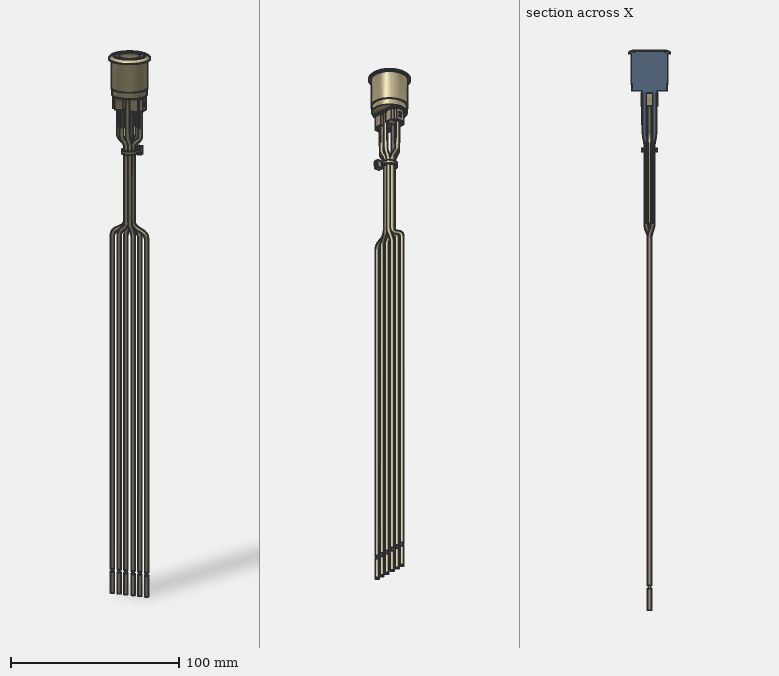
import cadquery as cq
import math


total_length = 332.5

bezel_diameter = 25.0
bezel_dome_height = 1.5
bezel_rim_height = 0.3
bezel_height = bezel_dome_height + bezel_rim_height
groove_outer_diameter = 19.3
groove_inner_diameter = 17.5
groove_depth = 1.0
button_diameter = 13.5
button_recess = 0.3

body_diameter = 22.0
body_foot_diameter = 21.0
body_step_z = -20.0
body_bottom_z = -24.0

plate_width = 17.3
plate_depth = 9.3
plate_height = 1.3
block_inner_x = 2.3
block_shoulder_x = 7.3
block_outer_x = 9.5
block_depth = 10.0
block_nose_depth = 5.3
block_bottom_z = -33.0
window_width = 1.5
window_height = 3.0
window_recess = 1.0
window_middle_z = -29.0

blade_width = 3.0
blade_thickness = 0.5
blade_bottom_z = -44.0

wire_diameter = 2.4
bundle_radius = 2.3
terminal_outer_x = 7.0
terminal_middle_x = 3.5
terminal_row_y = 3.0
gather_start_z = -48.5
gather_end_z = -56.5
fan_start_z = -101.7
fan_end_z = -112.5
fan_pitch = 4.3
fan_middle_gap = 4.8
fan_inner_x = fan_middle_gap / 2
fan_middle_x = fan_inner_x + fan_pitch
fan_outer_x = fan_middle_x + fan_pitch

neck_diameter = 1.5
neck_top_z = -317.5
neck_length = 2.0

tie_top_z = -58.2
tie_height = 2.0
tie_outer_radius = 4.5
tie_inner_radius = 3.3
tie_head_x = 4.3
tie_head_width = 3.0
tie_head_y = 5.0
tie_head_depth = 3.3
tie_head_height = 4.5
tie_tail_width = 1.0
tie_tail_end_y = 7.5

overlap = 0.5


def cylinder(diameter, top_z, bottom_z, x=0.0, y=0.0):
    disc = cq.Workplane("XY", origin=(x, y, bottom_z)).circle(diameter / 2)
    return disc.extrude(top_z - bottom_z)


def box(x_range, y_range, z_range):
    size = [high - low for low, high in (x_range, y_range, z_range)]
    corner = (x_range[0], y_range[0], z_range[0])
    return cq.Workplane("XY", origin=corner).box(*size, centered=False)


def button_head():
    profile = (
        cq.Workplane("XZ")
        .lineTo(groove_outer_diameter / 2, 0)
        .tangentArcPoint((bezel_diameter / 2, -bezel_dome_height), relative=False)
        .lineTo(bezel_diameter / 2, -bezel_height)
        .lineTo(body_diameter / 2, -bezel_height)
        .lineTo(body_diameter / 2, body_step_z)
        .lineTo(body_foot_diameter / 2, body_step_z)
        .lineTo(body_foot_diameter / 2, body_bottom_z)
        .lineTo(0, body_bottom_z)
        .close()
    )
    head = profile.revolve(360, (0, 0, 0), (0, 1, 0))
    groove = cylinder(groove_outer_diameter, 0, -groove_depth)
    groove = groove.cut(cylinder(groove_inner_diameter, 0, -groove_depth))
    return head.cut(groove).cut(cylinder(button_diameter, 0, -button_recess))


def terminal_block(side):
    """Stepped block on the side = -1 or +1 of the YZ plane, with a window in its nose."""
    top_z = body_bottom_z - plate_height
    z_range = (block_bottom_z, top_z)

    def slab(inner_x, outer_x, depth, heights):
        x_range = sorted((side * inner_x, side * outer_x))
        return box(x_range, (-depth / 2, depth / 2), heights)

    block = slab(block_inner_x, block_shoulder_x, block_depth, z_range)
    block = block.union(slab(block_inner_x, block_outer_x, block_nose_depth, z_range))
    window_heights = (window_middle_z - window_height / 2, window_middle_z + window_height / 2)
    window = slab(block_outer_x - window_recess, block_outer_x, window_width, window_heights)
    return block.cut(window)


def connector():
    plate = box(
        (-plate_width / 2, plate_width / 2),
        (-plate_depth / 2, plate_depth / 2),
        (body_bottom_z - plate_height, body_bottom_z),
    )
    return plate.union(terminal_block(-1)).union(terminal_block(1))


def solder_blade(x, y, top_z):
    """Blade on a wire axis; the blades on the X = 0 line face Y and the others face X."""
    if x == 0:
        size_x, size_y = blade_width, blade_thickness
    else:
        size_x, size_y = blade_thickness, blade_width
    return box(
        (x - size_x / 2, x + size_x / 2),
        (y - size_y / 2, y + size_y / 2),
        (blade_bottom_z, top_z),
    )


def wire_bend(start, end):
    """S-shaped wire stretch that is vertical at both ends."""
    down = cq.Vector(0, 0, -1)
    curve = cq.Edge.makeSpline([cq.Vector(*start), cq.Vector(*end)], [down, down])
    section = cq.Workplane("XY", origin=start).circle(wire_diameter / 2)
    return section.sweep(cq.Workplane(curve))


def wire(terminal, bundle_angle, fan_x):
    """One wire from its terminal, through the bundle, to its stripped end."""
    terminal_x, terminal_y = terminal
    bundle_x = bundle_radius * math.cos(math.radians(bundle_angle))
    bundle_y = bundle_radius * math.sin(math.radians(bundle_angle))
    top_z = body_bottom_z if terminal_x == 0 else block_bottom_z
    neck_bottom_z = neck_top_z - neck_length
    pieces = [
        solder_blade(terminal_x, terminal_y, block_bottom_z),
        wire_bend((terminal_x, terminal_y, gather_start_z), (bundle_x, bundle_y, gather_end_z)),
        cylinder(wire_diameter, gather_end_z, fan_start_z, bundle_x, bundle_y),
        wire_bend((bundle_x, bundle_y, fan_start_z), (fan_x, 0, fan_end_z)),
        cylinder(wire_diameter, fan_end_z, neck_top_z, fan_x),
        cylinder(neck_diameter, neck_top_z, neck_bottom_z, fan_x),
        cylinder(wire_diameter, neck_bottom_z, -total_length, fan_x),
    ]
    strand = cylinder(wire_diameter, top_z + overlap, gather_start_z, terminal_x, terminal_y)
    for piece in pieces:
        strand = strand.union(piece)
    return strand


def cable_tie():
    bottom_z = tie_top_z - tie_height
    band = cylinder(2 * tie_outer_radius, tie_top_z, bottom_z)
    band = band.cut(cylinder(2 * tie_inner_radius, tie_top_z, bottom_z))
    middle_z = tie_top_z - tie_height / 2
    head = cq.Workplane("XY", origin=(tie_head_x, tie_head_y, middle_z))
    head = head.box(tie_head_width, tie_head_depth, tie_head_height)
    tail = box(
        (tie_head_x - tie_tail_width / 2, tie_head_x + tie_tail_width / 2),
        (0, tie_tail_end_y),
        (bottom_z, tie_top_z),
    )
    return band.union(head).union(tail)


wire_routes = [
    ((-terminal_outer_x, 0), 180, -fan_outer_x),
    ((-terminal_middle_x, -terminal_row_y), 240, -fan_middle_x),
    ((0, terminal_row_y), 120, -fan_inner_x),
    ((0, -terminal_row_y), 300, fan_inner_x),
    ((terminal_middle_x, terminal_row_y), 60, fan_middle_x),
    ((terminal_outer_x, 0), 0, fan_outer_x),
]

result = button_head().union(connector()).union(cable_tie())
for terminal, bundle_angle, fan_x in wire_routes:
    result = result.union(wire(terminal, bundle_angle, fan_x))